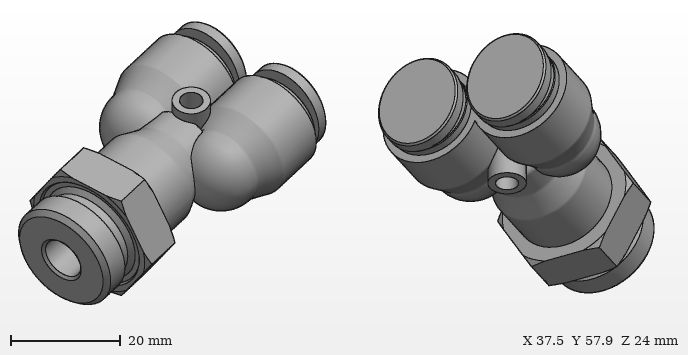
import cadquery as cq
import math

overall_length = 57.9

thread_dia = 20.95
thread_end_chamfer = 1.0
thread_end_y = 5.3
neck_dia = 18.2
neck_start_y = 5.95
neck_flare_start_y = 8.05
neck_flare = 1.0
bore_dia = 8.0
bore_chamfer = 0.5
hex_width = 24.0
hex_start_y = 8.45
hex_end_y = 16.55
hex_face_dia = 25.25
hex_chamfer_length = 0.5
face_recess_dia = 22.75
face_recess_depth = 0.5
face_recess_wall_width = 0.3

barrel_dia = 19.5
waist_dia = 15.5
branch_offset = 9.005
leg_shoulder_y = 26.5
leg_waist_y = 31.5
leg_end_y = 37.6
dome_center_y = 36.55
branch_waist_y = 37.4
branch_shoulder_y = 42.45
housing_end_y = 52.45
shoulder_blend = 1.0
edge_search_margin = 0.3
boss_y = 39.5
boss_dia = 7.0
boss_hole_dia = 4.2

collar_dia = 16.5
collar_end_y = 54.25
collar_chamfer = 0.2
stem_dia = 11.7
flange_start_y = 55.4
flange_width = 16.2
flange_height = 18.5
flange_chamfer = 0.35

AXIS_START = (0, 0, 0)
AXIS_END = (0, 1, 0)


def revolve_about_y(profile):
    """Turn a closed half profile, drawn with X as radius, about the Y axis."""
    return profile.close().revolve(360, AXIS_START, AXIS_END)


def cylinder_along_y(diameter, start_y, end_y):
    """Solid cylinder centred on the Y axis."""
    return revolve_about_y(
        cq.Workplane("XY")
        .moveTo(0, start_y)
        .lineTo(diameter / 2, start_y)
        .lineTo(diameter / 2, end_y)
        .lineTo(0, end_y)
    )


def extrude_base(start_y):
    """Workplane at start_y whose normal is +Y, with local Y along -Z."""
    return cq.Workplane("XZ", origin=(0, start_y, 0)).transformed(rotate=(180, 0, 0))


def make_hex_nut():
    """Hexagon with flats facing +Z and -Z and conical corner chamfers on both faces."""
    corner_radius = hex_width / math.sqrt(3)
    prism = extrude_base(hex_start_y).polygon(6, 2 * corner_radius).extrude(hex_end_y - hex_start_y)
    chamfer_envelope = revolve_about_y(
        cq.Workplane("XY")
        .moveTo(0, hex_start_y)
        .lineTo(hex_face_dia / 2, hex_start_y)
        .lineTo(corner_radius, hex_start_y + hex_chamfer_length)
        .lineTo(corner_radius, hex_end_y - hex_chamfer_length)
        .lineTo(hex_face_dia / 2, hex_end_y)
        .lineTo(0, hex_end_y)
    )
    return prism.intersect(chamfer_envelope)


def make_face_recess():
    """Shallow dish with a sloping wall in the nut face around the neck."""
    recess_radius = face_recess_dia / 2
    floor_y = hex_start_y + face_recess_depth
    return revolve_about_y(
        cq.Workplane("XY")
        .moveTo(0, hex_start_y)
        .lineTo(recess_radius, hex_start_y)
        .lineTo(recess_radius - face_recess_wall_width, floor_y)
        .lineTo(0, floor_y)
    )


def make_threaded_spigot():
    """Plain thread cylinder with its relief neck, flaring into the recess floor."""
    thread_radius = thread_dia / 2
    neck_radius = neck_dia / 2
    floor_y = hex_start_y + face_recess_depth
    return revolve_about_y(
        cq.Workplane("XY")
        .lineTo(thread_radius - thread_end_chamfer, 0)
        .lineTo(thread_radius, thread_end_chamfer)
        .lineTo(thread_radius, thread_end_y)
        .lineTo(neck_radius, neck_start_y)
        .lineTo(neck_radius, neck_flare_start_y)
        .lineTo(neck_radius + neck_flare, floor_y)
        .lineTo(0, floor_y)
    )


def make_bore():
    """Through bore with a chamfered mouth at the threaded end."""
    bore_radius = bore_dia / 2
    return revolve_about_y(
        cq.Workplane("XY")
        .lineTo(bore_radius + bore_chamfer, 0)
        .lineTo(bore_radius, bore_chamfer)
        .lineTo(bore_radius, hex_end_y)
        .lineTo(0, hex_end_y)
    )


def make_adapter():
    """Hex nut and threaded spigot in one piece, bored through."""
    nut = make_hex_nut().cut(make_face_recess())
    return nut.union(make_threaded_spigot()).cut(make_bore())


def blend_shoulders(barrel, shoulder_y, waist_y):
    """Round the two circular edges that bound a barrel's taper."""
    barrel_radius = barrel_dia / 2
    low_y, high_y = sorted((shoulder_y, waist_y))
    taper_zone = cq.selectors.BoxSelector(
        (-barrel_radius, low_y - edge_search_margin, -barrel_radius),
        (barrel_radius, high_y + edge_search_margin, barrel_radius),
    )
    return barrel.edges(taper_zone).edges("%CIRCLE").fillet(shoulder_blend)


def make_leg():
    """Barrel above the nut, tapering to a slimmer stub with a rounded flat end."""
    barrel_radius = barrel_dia / 2
    waist_radius = waist_dia / 2
    leg = revolve_about_y(
        cq.Workplane("XY")
        .moveTo(0, hex_end_y)
        .lineTo(barrel_radius, hex_end_y)
        .lineTo(barrel_radius, leg_shoulder_y)
        .lineTo(waist_radius, leg_waist_y)
        .lineTo(waist_radius, leg_end_y)
        .lineTo(0, leg_end_y)
    )
    leg = leg.faces(">Y").edges().fillet(leg_end_y - dome_center_y)
    return blend_shoulders(leg, leg_shoulder_y, leg_waist_y)


def make_branch():
    """Barrel that tapers from its open end to a slimmer, hemispherical end."""
    barrel_radius = barrel_dia / 2
    waist_radius = waist_dia / 2
    arc_middle = waist_radius * math.sqrt(0.5)
    branch = revolve_about_y(
        cq.Workplane("XY")
        .moveTo(0, housing_end_y)
        .lineTo(barrel_radius, housing_end_y)
        .lineTo(barrel_radius, branch_shoulder_y)
        .lineTo(waist_radius, branch_waist_y)
        .lineTo(waist_radius, dome_center_y)
        .threePointArc((arc_middle, dome_center_y - arc_middle), (0, dome_center_y - waist_radius))
    )
    return blend_shoulders(branch, branch_shoulder_y, branch_waist_y)


def make_housing():
    """Leg and two side-by-side branches, with a drilled mounting boss in the crotch."""
    housing = make_leg()
    branch = make_branch()
    for side in (-1, 1):
        housing = housing.union(branch.translate((side * branch_offset, 0, 0)))
    boss_plane = cq.Workplane("XY").center(0, boss_y)
    boss = boss_plane.circle(boss_dia / 2).extrude(barrel_dia / 2, both=True)
    hole = boss_plane.circle(boss_hole_dia / 2).extrude(barrel_dia / 2, both=True)
    return housing.union(boss).cut(hole)


def make_collar(center_x):
    """Ring on the branch end face, with a hole for the button stem."""
    ring = cylinder_along_y(collar_dia, housing_end_y, collar_end_y)
    ring = ring.faces(">Y").edges().chamfer(collar_chamfer)
    ring = ring.cut(cylinder_along_y(stem_dia, housing_end_y, collar_end_y))
    return ring.translate((center_x, 0, 0))


def make_release_button(center_x):
    """Round stem through the collar, topped by an oval flange taller than wide."""
    stem = cylinder_along_y(stem_dia, housing_end_y, flange_start_y)
    flange = (
        extrude_base(flange_start_y)
        .ellipse(flange_width / 2, flange_height / 2)
        .extrude(overall_length - flange_start_y)
        .faces(">Y")
        .chamfer(flange_chamfer)
    )
    return stem.union(flange).translate((center_x, 0, 0))


adapter = make_adapter()
housing = make_housing()
collars = []
release_buttons = []
for side in (-1, 1):
    collars.append(make_collar(side * branch_offset).val())
    release_buttons.append(make_release_button(side * branch_offset).val())

result = cq.Compound.makeCompound([adapter.val(), housing.val(), *collars, *release_buttons])